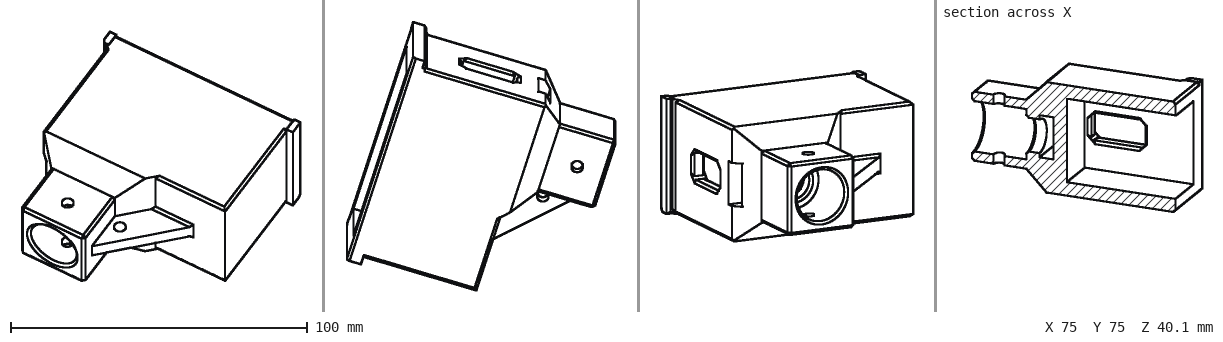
import cadquery as cq

overall_width = 75.0
overall_depth = 75.0
edge_chamfer = 1.0

body_width = 70.0
body_height = 40.0
body_front_y = 30.0
body_left = (overall_width - body_width) / 2
body_right = body_left + body_width

socket_side = 25.05
socket_length = 20.0
socket_left = 10.0
socket_right = socket_left + socket_side
socket_center_x = socket_left + socket_side / 2
middle_z = body_height / 2
socket_bottom = middle_z - socket_side / 2
socket_top = middle_z + socket_side / 2

taper_length = socket_left - body_left
taper_start_y = socket_length + taper_length
taper_right = socket_right + body_front_y - socket_length

tab_depth = 5.0
tab_height = 40.1
tab_front_y = overall_depth - tab_depth
gusset_reach = 0.75

bore_diameter = 18.0
bore_depth = socket_length
bolt_hole_diameter = 12.0
bolt_hole_depth = body_front_y - socket_length

rib_thickness = 5.0
rib_front_y = 5.0
rib_hole_x = 38.85
rib_hole_y = 17.0
cross_hole_diameter = 4.0
socket_hole_y = socket_length / 2

window_length = 20.0
window_height = 10.0
window_corner = edge_chamfer
window_center_y = 47.0

slot_width = 5.0
slot_height = 15.0
slot_end_x = socket_center_x + slot_height / 2

wall = 5.0


def block(x_min, x_max, y_min, y_max, z_min, z_max):
    """Box between the given limits."""
    size = (x_max - x_min, y_max - y_min, z_max - z_min)
    return cq.Workplane("XY").box(*size, centered=False).translate((x_min, y_min, z_min))


def plate(points, z_min, z_max):
    """Outline in X and Y, extruded upward between two heights."""
    return cq.Workplane("XY").workplane(offset=z_min).polyline(points).close().extrude(z_max - z_min)


def side_profile(points, x_min, x_max):
    """Outline in Y and Z, extruded along X."""
    return cq.Workplane("YZ").workplane(offset=x_min).polyline(points).close().extrude(x_max - x_min)


def make_body():
    plan = [
        (body_left, overall_depth),
        (body_left, taper_start_y),
        (socket_left, socket_length),
        (socket_right, socket_length),
        (taper_right, body_front_y),
        (body_right, body_front_y),
        (body_right, overall_depth),
    ]
    body = plate(plan, 0, body_height)
    body = body.faces(">Z or <Z").edges("|X or |Y").chamfer(edge_chamfer)
    taper = [
        (overall_depth, 0),
        (taper_start_y, 0),
        (socket_length, socket_bottom),
        (socket_length, socket_top),
        (taper_start_y, body_height),
        (overall_depth, body_height),
    ]
    return body.intersect(side_profile(taper, 0, overall_width))


def make_rear_frame():
    """Rear band with square side edges, the two tabs and the gusset in front of the left tab."""
    band = block(body_left, body_right, tab_front_y, overall_depth, 0, body_height)
    band = band.faces(">Y").edges("|X").chamfer(edge_chamfer)

    left_tab = block(0, body_left, tab_front_y, overall_depth, 0, tab_height)
    left_tab = left_tab.edges("<X and <Y").chamfer(edge_chamfer)
    left_tab = left_tab.faces("<Z").edges("|X").chamfer(edge_chamfer)

    right_tab = block(body_right, overall_width, tab_front_y, overall_depth, 0, tab_height)
    right_tab = right_tab.edges(">Y and <Z").chamfer(edge_chamfer)

    return band.union(left_tab).union(right_tab).union(make_gusset())


def make_gusset():
    """Triangular corner fill whose underside continues the lower body chamfer."""
    outer_x = body_left - gusset_reach
    inner_x = body_left + edge_chamfer
    corner = [
        (outer_x, tab_front_y),
        (inner_x, tab_front_y),
        (inner_x, tab_front_y - gusset_reach - edge_chamfer),
    ]
    underside = [(outer_x, 0), (inner_x, 0), (outer_x, inner_x - outer_x)]
    below = cq.Workplane("XZ", origin=(0, overall_depth, 0)).polyline(underside).close()
    return plate(corner, 0, body_height).cut(below.extrude(overall_depth))


def make_socket():
    socket = block(socket_left, socket_right, 0, socket_length, socket_bottom, socket_top)
    return socket.edges("|Y or <Y").chamfer(edge_chamfer)


def make_rib():
    """Sloping rib beside the socket, widened at 45 degrees where it meets the body front."""
    rib_right = socket_right + body_front_y - rib_front_y
    plan = [
        (socket_right, socket_length),
        (taper_right, body_front_y),
        (rib_right, body_front_y),
        (socket_right, rib_front_y),
    ]
    half = rib_thickness / 2
    root_half = half + edge_chamfer
    section = [
        (rib_front_y, middle_z - half),
        (body_front_y - edge_chamfer, middle_z - half),
        (body_front_y, middle_z - root_half),
        (body_front_y, middle_z + root_half),
        (body_front_y - edge_chamfer, middle_z + half),
        (rib_front_y, middle_z + half),
    ]
    return plate(plan, 0, body_height).intersect(side_profile(section, 0, overall_width))


def make_bore():
    """Two coaxial bores running back from the socket tip, each with a chamfered mouth."""

    def chamfered_bore(diameter, start_y, depth):
        plane = cq.Workplane("XZ", origin=(socket_center_x, start_y, middle_z))
        radius = diameter / 2
        straight = plane.circle(radius).extrude(-depth)
        mouth = plane.circle(radius + edge_chamfer).workplane(offset=-edge_chamfer).circle(radius).loft()
        return straight.union(mouth)

    socket_bore = chamfered_bore(bore_diameter, 0, bore_depth)
    return socket_bore.union(chamfered_bore(bolt_hole_diameter, bore_depth, bolt_hole_depth))


def make_cross_holes():
    centers = [(socket_center_x, socket_hole_y), (rib_hole_x, rib_hole_y)]
    return cq.Workplane("XY").pushPoints(centers).circle(cross_hole_diameter / 2).extrude(body_height)


def make_window():
    """Eight-sided window; its four main sides flare at both ends, its corner faces stay straight."""

    def outline(length, height, corner):
        y, z = length / 2, height / 2
        return [
            (y - corner, z), (y, z - corner), (y, corner - z), (y - corner, -z),
            (corner - y, -z), (-y, corner - z), (-y, z - corner), (corner - y, z),
        ]

    flare = 2 * edge_chamfer
    inner = outline(window_length, window_height, window_corner)
    outer = outline(window_length + flare, window_height + flare, window_corner + flare)

    def mouth(x, depth):
        plane = cq.Workplane("YZ", origin=(x, window_center_y, middle_z))
        return plane.polyline(outer).close().workplane(offset=depth).polyline(inner).close().loft()

    plane = cq.Workplane("YZ", origin=(body_left, window_center_y, middle_z))
    tunnel = plane.polyline(inner).close().extrude(wall)
    return tunnel.union(mouth(body_left, edge_chamfer)).union(mouth(body_left + wall, -edge_chamfer))


def make_slot():
    slot_bottom = middle_z - slot_height / 2
    slot_top = middle_z + slot_height / 2
    return block(body_left, slot_end_x, body_front_y - slot_width, body_front_y, slot_bottom, slot_top)


def make_cavity():
    return block(
        body_left + wall, body_right - wall, body_front_y + wall, overall_depth, wall, body_height - wall
    )


result = make_body().union(make_rear_frame()).union(make_socket()).union(make_rib())
for cutter in (make_bore(), make_cross_holes(), make_window(), make_slot(), make_cavity()):
    result = result.cut(cutter)